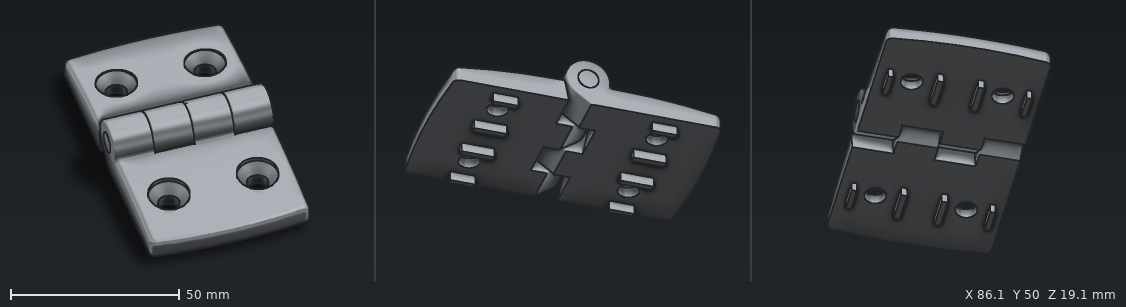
import cadquery as cq
import math

LENGTH = 86.1
WIDTH = 50.0
LEAF_HEIGHT = 8.0
HALF_LENGTH = LENGTH / 2
HALF_WIDTH = WIDTH / 2

CROWN_START = 9.9
CROWN_RADIUS = 193.7
END_RADIUS = 199.7
CORNER_RADIUS = 2.1
TOP_EDGE_RADIUS = 2.0
PLATE_INNER_END = 4.3

LEAF_KNUCKLES = (1, 3)
OTHER_LEAF_KNUCKLES = (0, 2)
KNUCKLE_COUNT = len(LEAF_KNUCKLES) + len(OTHER_LEAF_KNUCKLES)
KNUCKLE_WIDTH = WIDTH / KNUCKLE_COUNT
BARREL_RADIUS = 6.9
AXIS_HEIGHT = 9.1
KNUCKLE_EDGE_RADIUS = 0.5
WEB_TOE = 0.95
WEB_REACH = 5.2
STRIP_REACH = 12.05
ROOT_RADIUS = 1.0

SLOT_TOP = 7.6
SLOT_BOTTOM = 6.1

PIN_DIAMETER = 6.4

SCREW_X = 24.8
SCREW_Y = 13.9
SCREW_DIAMETER = 6.5
HEAD_DIAMETER = 12.5
HEAD_SEAT_HEIGHT = 6.45

TAB_HEIGHT = 3.1
OUTER_TAB_Y = 21.1
OUTER_TAB_LENGTH = 7.75
OUTER_TAB_THICKNESS = 1.55
INNER_TAB_Y = 6.2
INNER_TAB_LENGTH = 10.15
INNER_TAB_THICKNESS = 1.8


def along_y(sketch_points, y_start, y_end):
    """Prism of an XZ polygon between two Y positions."""
    return cq.Workplane("XZ", origin=(0, y_end, 0)).polyline(sketch_points).close().extrude(y_end - y_start)


def cylinder_y(radius, y_start, y_end):
    """Cylinder on the pin axis between two Y positions."""
    return cq.Workplane("XZ", origin=(0, y_end, AXIS_HEIGHT)).circle(radius).extrude(y_end - y_start)


def knuckle_span(index):
    """Y positions of both ends of a knuckle."""
    start = -HALF_WIDTH + index * KNUCKLE_WIDTH
    return start, start + KNUCKLE_WIDTH


def arc_drop(radius, distance):
    """Fall of a circular arc at a distance from its highest point."""
    return radius - math.sqrt(radius**2 - distance**2)


def make_plate():
    """Crowned plate on the -X side with a bowed end and rounded upper edges."""
    crown_run = HALF_LENGTH - CROWN_START
    crown_middle = (
        -CROWN_START - crown_run / 2,
        LEAF_HEIGHT - arc_drop(CROWN_RADIUS, crown_run / 2),
    )
    crown_end = (-HALF_LENGTH, LEAF_HEIGHT - arc_drop(CROWN_RADIUS, crown_run))
    side_profile = (
        cq.Workplane("XZ", origin=(0, HALF_WIDTH, 0))
        .moveTo(-PLATE_INNER_END, 0)
        .lineTo(-PLATE_INNER_END, LEAF_HEIGHT)
        .lineTo(-CROWN_START, LEAF_HEIGHT)
        .threePointArc(crown_middle, crown_end)
        .lineTo(-HALF_LENGTH, 0)
        .close()
        .extrude(WIDTH)
    )
    corner_x = -HALF_LENGTH + arc_drop(END_RADIUS, HALF_WIDTH)
    outline = (
        cq.Workplane("XY")
        .moveTo(-PLATE_INNER_END, -HALF_WIDTH)
        .lineTo(-PLATE_INNER_END, HALF_WIDTH)
        .lineTo(corner_x, HALF_WIDTH)
        .threePointArc((-HALF_LENGTH, 0), (corner_x, -HALF_WIDTH))
        .close()
        .extrude(LEAF_HEIGHT)
        .edges("|Z")
        .edges("<X")
        .fillet(CORNER_RADIUS)
    )
    plate = side_profile.intersect(outline)
    end_edge = plate.faces("<X").edges(">Z")
    return plate.newObject(end_edge.vals()).fillet(TOP_EDGE_RADIUS)


def make_slot(y_start, y_end):
    """Cutter with a sloping wall that clears a knuckle of the other leaf."""
    points = [(-SLOT_BOTTOM, 0), (-SLOT_TOP, LEAF_HEIGHT), (0, LEAF_HEIGHT), (0, 0)]
    return along_y(points, y_start, y_end)


def make_barrel(plate, y_start, y_end):
    """Rounded barrel section with a strip of the plate, blended by a fillet along the root."""
    strip = plate.intersect(
        cq.Workplane("XY")
        .box(STRIP_REACH, y_end - y_start, LEAF_HEIGHT, centered=False)
        .translate((-STRIP_REACH, y_start, 0))
    )
    barrel = cylinder_y(BARREL_RADIUS, y_start, y_end).edges().fillet(KNUCKLE_EDGE_RADIUS)
    root_x = -math.sqrt(BARREL_RADIUS**2 - (AXIS_HEIGHT - LEAF_HEIGHT) ** 2)
    root_point = (root_x, (y_start + y_end) / 2, LEAF_HEIGHT)
    return barrel.union(strip).edges(cq.selectors.NearestToPointSelector(root_point)).fillet(ROOT_RADIUS)


def make_web(y_start, y_end):
    """Web below the barrel; its slope touches the barrel on the +X side and ends at the toe."""
    toe_distance = math.hypot(WEB_TOE, AXIS_HEIGHT)
    toe_angle = math.atan2(-AXIS_HEIGHT, -WEB_TOE)
    touch_angle = toe_angle + math.acos(BARREL_RADIUS / toe_distance)
    touch_x = BARREL_RADIUS * math.cos(touch_angle)
    touch_z = AXIS_HEIGHT + BARREL_RADIUS * math.sin(touch_angle)
    points = [
        (0, AXIS_HEIGHT),
        (touch_x, touch_z),
        (-WEB_TOE, 0),
        (-WEB_REACH, 0),
        (-WEB_REACH, LEAF_HEIGHT - TOP_EDGE_RADIUS),
    ]
    slope_middle = ((touch_x - WEB_TOE) / 2, (y_start + y_end) / 2, touch_z / 2)
    slope = along_y(points, y_start, y_end).faces(cq.selectors.NearestToPointSelector(slope_middle))
    return slope.edges("<Y or >Y").fillet(KNUCKLE_EDGE_RADIUS)


def make_knuckle(plate, y_start, y_end):
    """Barrel section and web of one knuckle, blended into the plate."""
    return make_barrel(plate, y_start, y_end).union(make_web(y_start, y_end))


def make_screw_hole(x, y):
    """Cutter for a through hole with a 90 degree countersink and a short straight rim."""
    cone_height = (HEAD_DIAMETER - SCREW_DIAMETER) / 2
    profile = [
        (0, 0),
        (SCREW_DIAMETER / 2, 0),
        (SCREW_DIAMETER / 2, HEAD_SEAT_HEIGHT - cone_height),
        (HEAD_DIAMETER / 2, HEAD_SEAT_HEIGHT),
        (HEAD_DIAMETER / 2, LEAF_HEIGHT),
        (0, LEAF_HEIGHT),
    ]
    return cq.Workplane("XZ").polyline(profile).close().revolve(360, (0, 0), (0, 1)).translate((x, y, 0))


def make_tab(x, y, length, thickness):
    """Rectangular tab that hangs below the leaf."""
    return cq.Workplane("XY", origin=(x, y, 0)).rect(length, thickness).extrude(-TAB_HEIGHT)


def make_leaf():
    """Leaf on the -X side: plate, alternate knuckles, screw holes and locating tabs."""
    plate = make_plate()
    leaf = plate
    for index in OTHER_LEAF_KNUCKLES:
        leaf = leaf.cut(make_slot(*knuckle_span(index)))
    for index in LEAF_KNUCKLES:
        leaf = leaf.union(make_knuckle(plate, *knuckle_span(index)))
    leaf = leaf.cut(cylinder_y(PIN_DIAMETER / 2, -HALF_WIDTH, HALF_WIDTH))
    for side in (-1, 1):
        leaf = leaf.cut(make_screw_hole(-SCREW_X, side * SCREW_Y))
        leaf = leaf.union(make_tab(-SCREW_X, side * OUTER_TAB_Y, OUTER_TAB_LENGTH, OUTER_TAB_THICKNESS))
        leaf = leaf.union(make_tab(-SCREW_X, side * INNER_TAB_Y, INNER_TAB_LENGTH, INNER_TAB_THICKNESS))
    return leaf


left_leaf = make_leaf()
right_leaf = left_leaf.rotate((0, 0, 0), (0, 0, 1), 180)
pin = cylinder_y(PIN_DIAMETER / 2, -HALF_WIDTH, HALF_WIDTH)

result = cq.Compound.makeCompound([left_leaf.val(), right_leaf.val(), pin.val()])